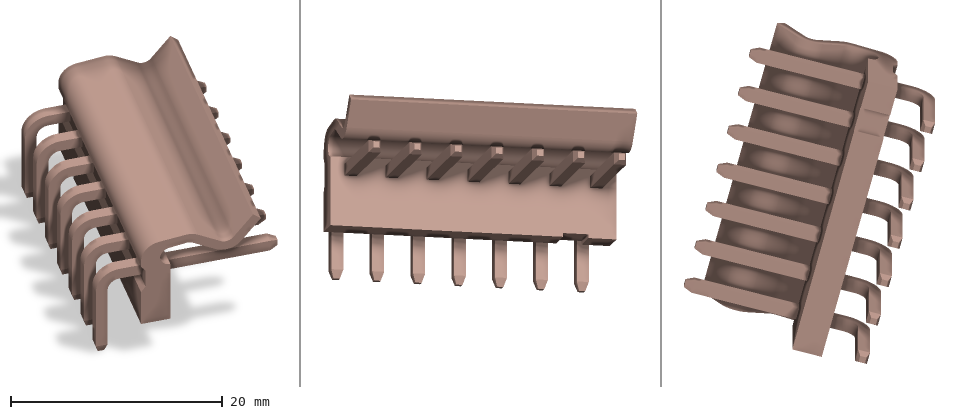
import math

import cadquery as cq


length = 27.72
base_depth = 2.88
groove_depth = 0.45
groove_bottom = 3.88
groove_top = 7.0
groove_slope_rise = 0.6

strip = 1.0
hook_axis_z = 7.68
hook_outer_radius = 1.97
hook_inner_radius = 1.0
bend_inner_radius = 1.0
bend_outer_radius = bend_inner_radius + strip
rise_angle = 5.5
descent_angle = 30.0
flare_angle = 50.0
crest_start_y = 4.4
valley_start_y = 7.85
tip_y = 11.03

pin_count = 7
pitch = 3.96
pin_size = 1.16
pin_axis_z = 5.45
pin_front_y = -4.05
pin_rear_y = 13.95
pin_bottom_z = -3.75
bend_radius = 2.33
taper_length = 0.83
taper_end_size = 0.6

notch_width = 2.45
notch_height = 0.35

first_pin_x = -pitch * (pin_count - 1) / 2
pin_xs = [first_pin_x + i * pitch for i in range(pin_count)]


def around(center, radius, degrees):
    """Point on a circle in the YZ plane; 0 degrees is +Y and 90 degrees is +Z."""
    angle = math.radians(degrees)
    return (center[0] + radius * math.cos(angle), center[1] + radius * math.sin(angle))


def slope(degrees):
    return math.tan(math.radians(degrees))


def housing_outline():
    """Side outline of base and latch, with Y and Z as its coordinates."""
    rise_up = 90 + rise_angle
    descent_up = 90 - descent_angle
    descent_down = descent_up - 180
    flare_down = flare_angle - 90

    hook_outer = (hook_outer_radius, hook_axis_z)
    hook_front = (0, hook_axis_z)
    hook_middle = around(hook_outer, hook_outer_radius, (180 + rise_up) / 2)
    hook_end = around(hook_outer, hook_outer_radius, rise_up)

    crest_start = (crest_start_y, hook_end[1] + (crest_start_y - hook_end[0]) * slope(rise_angle))
    crest = around(crest_start, bend_outer_radius, rise_up - 180)
    crest_middle_angle = (rise_up + descent_up) / 2
    crest_end = around(crest, bend_outer_radius, descent_up)

    valley_start_z = crest_end[1] - (valley_start_y - crest_end[0]) * slope(descent_angle)
    valley_start = (valley_start_y, valley_start_z)
    valley = around(valley_start, bend_inner_radius, descent_up)
    valley_middle_angle = (descent_down + flare_down) / 2
    valley_end = around(valley, bend_inner_radius, flare_down)

    tip_top = (tip_y, valley_end[1] + (tip_y - valley_end[0]) * slope(flare_angle))
    tip_bottom = around(tip_top, strip, flare_down)

    hook_inner = (base_depth, hook_axis_z)

    return (
        cq.Workplane("YZ")
        .moveTo(0, 0)
        .lineTo(0, groove_bottom)
        .lineTo(groove_depth, groove_bottom + groove_slope_rise)
        .lineTo(groove_depth, groove_top - groove_slope_rise)
        .lineTo(0, groove_top)
        .lineTo(*hook_front)
        .threePointArc(hook_middle, hook_end)
        .lineTo(*crest_start)
        .threePointArc(around(crest, bend_outer_radius, crest_middle_angle), crest_end)
        .lineTo(*valley_start)
        .threePointArc(around(valley, bend_inner_radius, valley_middle_angle), valley_end)
        .lineTo(*tip_top)
        .lineTo(*tip_bottom)
        .lineTo(*around(valley, bend_outer_radius, flare_down))
        .threePointArc(
            around(valley, bend_outer_radius, valley_middle_angle),
            around(valley, bend_outer_radius, descent_down),
        )
        .lineTo(*around(crest, bend_inner_radius, descent_up))
        .threePointArc(
            around(crest, bend_inner_radius, crest_middle_angle),
            around(crest, bend_inner_radius, rise_up),
        )
        .lineTo(*around(hook_inner, hook_inner_radius, rise_up))
        .threePointArc(
            around(hook_inner, hook_inner_radius, 180),
            around(hook_inner, hook_inner_radius, 270),
        )
        .lineTo(base_depth, 0)
        .close()
    )


def make_housing():
    body = housing_outline().extrude(length / 2, both=True)

    notch_x = (pin_xs[0] + pin_xs[1]) / 2
    notch = cq.Workplane("XY").box(notch_width, base_depth, notch_height, centered=(True, False, False))
    body = body.cut(notch.translate((notch_x, 0, 0)))

    for x in pin_xs:
        hole = cq.Workplane("XY").box(pin_size, base_depth, pin_size, centered=(True, False, True))
        body = body.cut(hole.translate((x, 0, pin_axis_z)))
    return body


def make_taper(plane):
    """Pin end that narrows along the normal of the given plane."""
    return (
        cq.Workplane(plane)
        .rect(pin_size, pin_size)
        .workplane(offset=taper_length)
        .rect(taper_end_size, taper_end_size)
        .loft(ruled=True)
    )


def make_pin(x):
    """Square pin: through the housing along Y, then bent down in front of it."""
    leg_y = pin_front_y + pin_size / 2
    rear_y = pin_rear_y - taper_length
    foot_z = pin_bottom_z + taper_length
    bend_y = pin_front_y + bend_radius
    bend_z = pin_axis_z + pin_size / 2 - bend_radius
    center_radius = bend_radius - pin_size / 2

    path = (
        cq.Workplane("YZ", origin=(x, 0, 0))
        .moveTo(rear_y, pin_axis_z)
        .lineTo(bend_y, pin_axis_z)
        .threePointArc(around((bend_y, bend_z), center_radius, 135), (leg_y, bend_z))
        .lineTo(leg_y, foot_z)
    )
    rear_plane = cq.Plane(origin=(x, rear_y, pin_axis_z), xDir=(1, 0, 0), normal=(0, 1, 0))
    foot_plane = cq.Plane(origin=(x, leg_y, foot_z), xDir=(1, 0, 0), normal=(0, 0, -1))
    bar = cq.Workplane(rear_plane).rect(pin_size, pin_size).sweep(path)
    return bar.union(make_taper(rear_plane)).union(make_taper(foot_plane))


housing = make_housing()
pins = [make_pin(x) for x in pin_xs]

result = cq.Compound.makeCompound([housing.val(), *[pin.val() for pin in pins]])